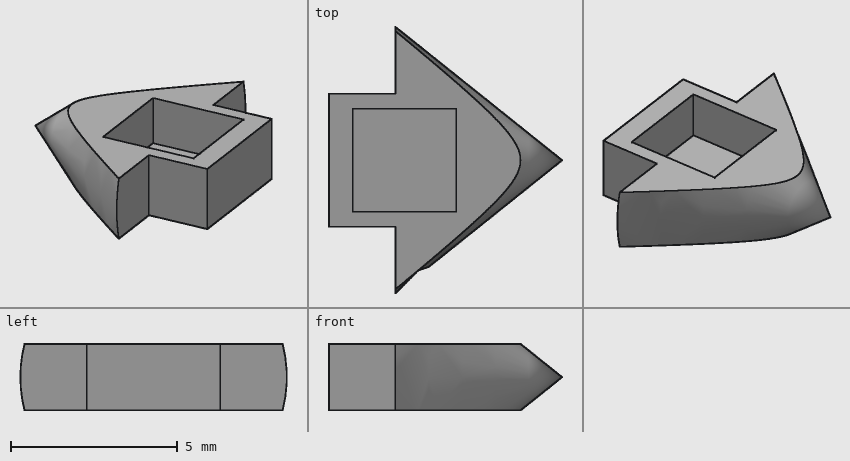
import cadquery as cq

thickness = 2.0
cone_radius = 4.0
cone_length = 5.0

shank_length = 2.0
shank_width = 4.0

pocket_side = 3.1
pocket_depth = 1.5
pocket_back_wall = 0.72
pocket_center_x = -shank_length + pocket_back_wall + pocket_side / 2


def make_head():
    """Cone with its base at X = 0, trimmed to the part thickness."""
    half_section = cq.Workplane("XY").polyline([(0, 0), (cone_length, 0), (0, cone_radius)]).close()
    cone = half_section.revolve(360, (0, 0, 0), (1, 0, 0))
    slab = cq.Workplane("XY").box(2 * cone_length, 2 * cone_radius, thickness)
    return cone.intersect(slab)


def make_shank():
    """Block extending from the cone base toward -X."""
    return cq.Workplane("XY").box(
        shank_length, shank_width, thickness, centered=(False, True, True)
    ).translate((-shank_length, 0, 0))


def make_pocket():
    """Volume removed from the top face, spanning the shank and the head."""
    floor_z = thickness / 2 - pocket_depth
    return cq.Workplane("XY").box(
        pocket_side, pocket_side, pocket_depth, centered=(True, True, False)
    ).translate((pocket_center_x, 0, floor_z))


result = make_head().union(make_shank()).cut(make_pocket())